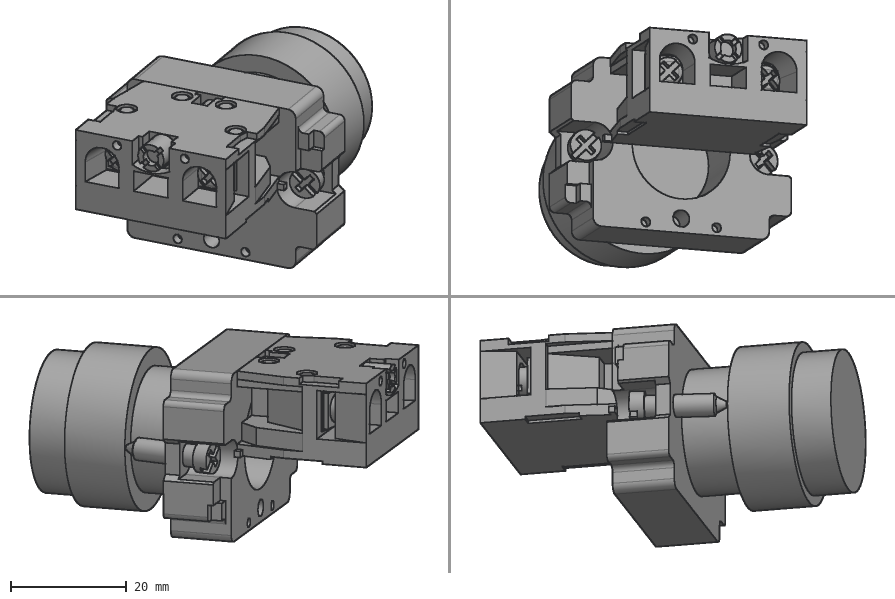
import cadquery as cq
import math

SIDES = (-1, 1)

button_face_y = 31.0
cap_length = 7.0
collar_length = 11.0
neck_length = 9.0
flange_thickness = 11.05
collar_back_y = button_face_y - cap_length
collar_front_y = collar_back_y - collar_length
flange_back_y = collar_front_y - neck_length
flange_face_y = flange_back_y - flange_thickness
terminal_face_y = -31.0

cap_radius = 12.45
collar_radius = 14.25
neck_radius = 11.05

flange_half_width = 16.2
flange_half_height = 15.0
flange_corner_radius = 1.5
ear_span = 40.5
ear_half_width = ear_span / 2
ear_half_height = 10.55
ear_radius = 1.0
waist_half_width = 19.1
waist_half_height = 2.8
waist_chamfer_height = 0.9
bore_radius = 9.0
fixing_radius = 1.5
fixing_z = 12.45
fixing_depth = 4.95
dimple_radius = 0.8
dimple_x = 6.5
dimple_z = 13.6
dimple_depth = 1.85
screw_slot_half_height = 3.35
screw_slot_end_x = 12.6
screw_slot_floor_y = 1.4
latch_face_y = -5.0
latch_step_z = 7.45
latch_step_x = 18.2
latch_inner_y = -5.95
latch_outer_y = -4.0

screw_tilt = 9.0
screw_radius = 2.0
screw_x_at_flange_back = 15.1
screw_head_radius = 2.7
screw_head_height = 2.6
screw_head_face_y = -3.8
screw_shank_end_y = 10.65
screw_point_base_radius = 1.4
screw_point_radius = 0.53
screw_point_end_y = 12.85
screw_shoulder_length = 0.4
cross_angle = 45.0
cross_width = 1.05
cross_short_length = 3.7
cross_depth = 1.35

block_half_width = 14.45
block_back_half_width = 13.0
block_taper_end_y = -15.95
block_height = 15.0
lug_length = 1.05
lug_height = 1.1
side_bay_front_y = -19.35
side_bay_bottom_z = 2.0
side_bay_ledge_z = 5.2
side_bay_lip_z = 12.2
side_bay_top_z = 13.5
side_bay_lip_x = 12.95
bay_lower_bend = (13.0, -10.55)
bay_lower_back_x = 10.4
bay_upper_front_x = 12.8
bay_upper_bend = (8.75, -11.2)
bay_upper_back_x = 4.95
edge_notch_back_y = -18.8
edge_notch_bend_y = -20.7
edge_notch_front_y = -26.0
edge_notch_back_x = 12.6
edge_notch_front_x = 12.15
edge_notch_depth = 1.1
underside_back_y = -13.45
underside_front_y = -23.0
underside_depth = 0.5
rivets = ((4.2, -9.9), (10.5, -18.9))
rivet_outer_radius = 1.8
rivet_inner_radius = 1.25
rivet_groove_depth = 0.75
rivet_recess = 0.25

window_half_width = 3.3
window_depth = 7.45
window_top_z = 9.35
entry_floor_z = 5.6
entry_outer_x = 12.6
entry_inner_x = 6.15
entry_neck_outer_x = 11.55
entry_wall_x = 13.0
entry_wall_end_y = -24.85
side_opening_back_y = -22.0
side_opening_bottom_z = 4.4
side_opening_top_z = 13.0
side_opening_inner_x = 5.3
terminal_tilt = 9.0
terminal_x = 8.75
terminal_z = 8.8
terminal_head_radius = 2.55
terminal_head_height = 2.5
terminal_head_fillet = 0.85
clamp_face_y = -23.75
clamp_width = 6.45
clamp_thickness = 0.85
backing_width = 7.2
backing_thickness = 2.2

fixing_head_radius = 2.5
fixing_head_back_y = -26.0
fixing_socket_radius = 1.4
fixing_socket_depth = 1.55
fixing_notch_width = 0.8
fixing_notch_depth = 0.75
head_channel_radius = 2.7
head_recess_half_width = 3.55
head_recess_back_y = -28.6
head_recess_side_z = 10.55
head_recess_bottom_z = 9.7
shank_recess_half_width = 2.6
shank_recess_front_y = -8.1
shank_slot_front_y = -11.8


def box(x_range, y_range, z_range):
    """Box between two X, two Y and two Z values, each pair in any order."""
    sizes = [abs(end - start) for start, end in (x_range, y_range, z_range)]
    corner = [min(pair) for pair in (x_range, y_range, z_range)]
    return cq.Workplane("XY").box(*sizes, centered=False).translate(tuple(corner))


def rod(x, z, radius, y_back, y_front):
    """Cylinder along Y that starts at y_back and runs forward to y_front."""
    plane = cq.Workplane("XZ", origin=(x, y_back, z))
    return plane.circle(radius).extrude(y_back - y_front)


def plan_prism(points, side, z_bottom, z_top):
    """Upright prism on a plan outline given for +X, placed on the chosen side."""
    outline = [(side * x, y) for x, y in points]
    plane = cq.Workplane("XY", origin=(0, 0, z_bottom))
    return plane.polyline(outline).close().extrude(z_top - z_bottom)


def tilted_plane(x, y, z, tilt, side):
    """Plane whose normal points to +Y and leans towards the middle of the part."""
    sine = math.sin(math.radians(tilt))
    cosine = math.cos(math.radians(tilt))
    return cq.Plane(origin=(side * x, y, z), xDir=(cosine, side * sine, 0), normal=(-side * sine, cosine, 0))


def cross_recess(plane, side, head_radius):
    """Slot right across a screw head, crossed by a shorter one."""
    recess = cq.Workplane(plane).rect(3 * head_radius, cross_width).extrude(cross_depth)
    recess = recess.union(cq.Workplane(plane).rect(cross_width, cross_short_length).extrude(cross_depth))
    return recess.rotate(plane.origin.toTuple(), (plane.origin + plane.zDir).toTuple(), side * cross_angle)


def button_head():
    head = rod(0, 0, cap_radius, button_face_y, collar_back_y)
    head = head.union(rod(0, 0, collar_radius, collar_back_y, collar_front_y))
    return head.union(rod(0, 0, neck_radius, collar_front_y, flange_back_y))


def slab(half_width, half_height):
    """Rectangular plate of the flange thickness, centred on the Y axis."""
    plane = cq.Workplane("XZ", origin=(0, flange_back_y, 0))
    return plane.rect(2 * half_width, 2 * half_height).extrude(flange_thickness)


def flange_blank():
    """Rounded plate with an ear on each side; each ear has a chamfered waist."""
    ears = slab(ear_half_width, ear_half_height).edges("|Y").fillet(ear_radius)
    main = slab(flange_half_width, flange_half_height).edges("|Y").fillet(flange_corner_radius)
    blank = main.union(ears)
    reach_x = flange_half_width + ear_radius / 2
    reach_z = ear_half_height + ear_radius / 2
    meeting = cq.selectors.BoxSelector(
        (-reach_x, flange_face_y, -reach_z), (reach_x, flange_back_y, reach_z)
    )
    blank = blank.edges("|Y").edges(meeting).fillet(ear_radius)
    waist_mouth = waist_half_height + waist_chamfer_height
    for side in SIDES:
        waist = cq.Workplane("XZ", origin=(0, flange_back_y, 0)).polyline([
            (side * ear_half_width, waist_mouth),
            (side * waist_half_width, waist_half_height),
            (side * waist_half_width, -waist_half_height),
            (side * ear_half_width, -waist_mouth),
        ]).close().extrude(flange_thickness)
        blank = blank.cut(waist)
    return blank


def screw_slot(side):
    """Open-sided slot, round at its inner end, that takes a screw head."""
    centre_x = screw_slot_end_x + screw_slot_half_height
    slot = rod(side * centre_x, 0, screw_slot_half_height, screw_slot_floor_y, flange_face_y)
    return slot.union(box(
        (side * centre_x, side * ear_half_width),
        (screw_slot_floor_y, flange_face_y),
        (-screw_slot_half_height, screw_slot_half_height),
    ))


def latch_cuts(side):
    """Stepped cut-back of one ear: the upper one at +X, the lower one at -X."""
    steps = (
        (flange_half_width, ear_half_width, screw_slot_half_height, latch_step_z, latch_face_y),
        (flange_half_width, latch_step_x, latch_step_z, ear_half_height + ear_radius, latch_inner_y),
        (latch_step_x, ear_half_width, latch_step_z, ear_half_height, latch_outer_y),
    )
    cuts = cq.Workplane("XY")
    for x_in, x_out, z_in, z_out, floor_y in steps:
        step = box((side * x_in, side * x_out), (floor_y, flange_face_y), (side * z_in, side * z_out))
        cuts = cuts.union(step)
    return cuts


def operator():
    body = button_head().union(flange_blank())
    body = body.cut(rod(0, 0, bore_radius, flange_back_y, flange_face_y))
    for side in SIDES:
        body = body.cut(screw_slot(side)).cut(screw_blank(side)).cut(latch_cuts(side))
        body = body.cut(rod(0, side * fixing_z, fixing_radius, flange_face_y + fixing_depth, flange_face_y))
        dimple_back_y = flange_face_y + dimple_depth
        body = body.cut(rod(side * dimple_x, -dimple_z, dimple_radius, dimple_back_y, flange_face_y))
    return body


def screw_head_plane(side):
    run = flange_back_y - screw_head_face_y
    x = screw_x_at_flange_back + run * math.tan(math.radians(screw_tilt))
    return tilted_plane(x, screw_head_face_y, 0, screw_tilt, side)


def screw_blank(side):
    """Leaning screw with a flat head and a blunt point, before its recess is cut."""
    stretch = 1 / math.cos(math.radians(screw_tilt))
    shank_end = (screw_shank_end_y - screw_head_face_y) * stretch
    point_rise = screw_point_radius * math.tan(math.radians(screw_tilt))
    point_end = (screw_point_end_y - screw_head_face_y) * stretch - point_rise
    plane = screw_head_plane(side)
    axial_plane = cq.Plane(origin=plane.origin, xDir=plane.xDir, normal=-plane.yDir)
    profile = [
        (0, 0),
        (screw_head_radius, 0),
        (screw_head_radius, screw_head_height),
        (screw_radius, screw_head_height),
        (screw_radius, shank_end),
        (screw_point_base_radius, shank_end + screw_shoulder_length),
        (screw_point_radius, point_end),
        (0, point_end),
    ]
    return cq.Workplane(axial_plane).polyline(profile).close().revolve(360, (0, 0, 0), (0, 1, 0))


def mounting_screw(side):
    return screw_blank(side).cut(cross_recess(screw_head_plane(side), side, screw_head_radius))


def block_blank():
    blank = cq.Workplane("XY")
    half_plan = [
        (0, flange_face_y),
        (block_back_half_width, flange_face_y),
        (block_half_width, block_taper_end_y),
        (block_half_width, terminal_face_y),
        (0, terminal_face_y),
    ]
    for side in SIDES:
        blank = blank.union(plan_prism(half_plan, side, 0, block_height))
    lug_y = (flange_face_y, flange_face_y - lug_length)
    return blank.union(box((-block_half_width, block_half_width), lug_y, (0, lug_height)))


def side_bay(side):
    """Recess behind the terminal: a stepped wall that runs deeper towards the flange."""
    corner = (block_half_width, side_bay_front_y)
    mouth = [(block_half_width, flange_face_y), corner]
    lower_wall = mouth + [bay_lower_bend, (bay_lower_back_x, flange_face_y)]
    upper_wall = mouth + [
        (bay_upper_front_x, side_bay_front_y),
        bay_upper_bend,
        (bay_upper_back_x, bay_upper_bend[1]),
        (bay_upper_back_x, flange_face_y),
    ]
    lip_wall = mouth + [(side_bay_lip_x, side_bay_front_y), (side_bay_lip_x, flange_face_y)]
    bay = plan_prism(lower_wall, side, side_bay_bottom_z, side_bay_ledge_z)
    bay = bay.union(plan_prism(upper_wall, side, side_bay_ledge_z, side_bay_lip_z))
    return bay.union(plan_prism(lip_wall, side, side_bay_lip_z, side_bay_top_z))


def edge_notch(side):
    """Notch in the upper long edge, wider in its front part."""
    outline = [
        (block_half_width, edge_notch_back_y),
        (edge_notch_back_x, edge_notch_back_y),
        (edge_notch_front_x, edge_notch_bend_y),
        (edge_notch_front_x, edge_notch_front_y),
        (block_half_width, edge_notch_front_y),
    ]
    return plan_prism(outline, side, block_height - edge_notch_depth, block_height)


def underside_notch(side):
    """Shallow notch in the lower long edge."""
    return box(
        (side * edge_notch_front_x, side * block_half_width),
        (underside_back_y, underside_front_y),
        (0, underside_depth),
    )


def rivet_groove(x, y):
    """Ring groove around a slightly sunken round rivet."""
    top = cq.Workplane("XY", origin=(x, y, block_height))
    groove = top.circle(rivet_outer_radius).circle(rivet_inner_radius).extrude(-rivet_groove_depth)
    return groove.union(top.circle(rivet_outer_radius).extrude(-rivet_recess))


def arch(workplane, outer_x, inner_x, side):
    """Wire-entry outline: a flat floor, upright sides and a half-round top."""
    middle_x = (outer_x + inner_x) / 2
    crown_z = window_top_z + (outer_x - inner_x) / 2
    return (
        workplane.moveTo(side * outer_x, entry_floor_z)
        .lineTo(side * outer_x, window_top_z)
        .threePointArc((side * middle_x, crown_z), (side * inner_x, window_top_z))
        .lineTo(side * inner_x, entry_floor_z)
        .close()
    )


def terminal_cavity(side):
    """Narrowing wire entry, the side opening behind it, and the slanted face beside it."""
    entry = arch(cq.Workplane("XZ", origin=(0, terminal_face_y, 0)), entry_outer_x, entry_inner_x, side)
    entry = arch(
        entry.workplane(offset=terminal_face_y - entry_wall_end_y), entry_neck_outer_x, entry_inner_x, side
    ).loft(ruled=True)
    opening = [
        (block_half_width, terminal_face_y),
        (block_half_width, side_opening_back_y),
        (side_opening_inner_x, side_opening_back_y),
        (side_opening_inner_x, entry_wall_end_y),
        (entry_wall_x, entry_wall_end_y),
    ]
    return entry.union(plan_prism(opening, side, side_opening_bottom_z, side_opening_top_z))


def terminal_clamp(side):
    """Leaning clamp plate with a round-edged cross-head screw."""
    face = tilted_plane(terminal_x, clamp_face_y, terminal_z, terminal_tilt, side)
    clamp = cq.Workplane(face).rect(clamp_width, clamp_width).extrude(clamp_thickness)
    backing = cq.Workplane(face).workplane(offset=clamp_thickness)
    clamp = clamp.union(backing.rect(backing_width, backing_width).extrude(backing_thickness))
    head = cq.Workplane(face).circle(terminal_head_radius).extrude(-terminal_head_height)
    head = head.faces("<Y").edges().fillet(terminal_head_fillet)
    head_face = cq.Plane(face.origin - face.zDir * terminal_head_height, face.xDir, face.zDir)
    return clamp.union(head.cut(cross_recess(head_face, side, terminal_head_radius)))


def fixing_screw_recesses():
    """Channel and stepped mouth around the screw head, and the openings over its shank."""
    recesses = rod(0, fixing_z, head_channel_radius, fixing_head_back_y, terminal_face_y)
    channel_x = (-head_channel_radius, head_channel_radius)
    recesses = recesses.union(
        box(channel_x, (fixing_head_back_y, terminal_face_y), (fixing_z, block_height))
    )
    mouth = (
        cq.Workplane("XZ", origin=(0, head_recess_back_y, 0))
        .moveTo(-head_recess_half_width, block_height)
        .lineTo(-head_recess_half_width, head_recess_side_z)
        .threePointArc((0, head_recess_bottom_z), (head_recess_half_width, head_recess_side_z))
        .lineTo(head_recess_half_width, block_height)
        .close()
        .extrude(head_recess_back_y - terminal_face_y)
    )
    shank_recess = box(
        (-shank_recess_half_width, shank_recess_half_width),
        (flange_face_y, shank_recess_front_y),
        (fixing_z - shank_recess_half_width, block_height),
    )
    shank_slot = box(
        (-fixing_radius, fixing_radius), (flange_face_y, shank_slot_front_y), (fixing_z, block_height)
    )
    return recesses.union(mouth).union(shank_recess).union(shank_slot)


def fixing_screw():
    """Socket head with four notches in its rim, and a shank that reaches into the flange."""
    head = rod(0, fixing_z, fixing_head_radius, fixing_head_back_y, terminal_face_y)
    socket_back_y = terminal_face_y + fixing_socket_depth
    head = head.cut(rod(0, fixing_z, fixing_socket_radius, socket_back_y, terminal_face_y))
    for angle in (cross_angle, -cross_angle):
        slot = box(
            (-fixing_head_radius, fixing_head_radius),
            (terminal_face_y, terminal_face_y + fixing_notch_depth),
            (-fixing_notch_width / 2, fixing_notch_width / 2),
        )
        head = head.cut(slot.rotate((0, 0, 0), (0, 1, 0), angle).translate((0, 0, fixing_z)))
    shank = rod(0, fixing_z, fixing_radius, flange_face_y + fixing_depth, fixing_head_back_y)
    return head.union(shank)


def contact_block():
    block = block_blank()
    for side in SIDES:
        block = block.cut(side_bay(side)).cut(terminal_cavity(side))
        block = block.cut(edge_notch(side)).cut(underside_notch(side))
        for x, y in rivets:
            block = block.cut(rivet_groove(side * x, y))
        dimple_back_y = terminal_face_y + dimple_depth
        block = block.cut(rod(side * dimple_x, dimple_z, dimple_radius, dimple_back_y, terminal_face_y))
        block = block.union(terminal_clamp(side))
    block = block.cut(box(
        (-window_half_width, window_half_width),
        (terminal_face_y, terminal_face_y + window_depth),
        (entry_floor_z, window_top_z),
    ))
    return block.cut(fixing_screw_recesses()).union(fixing_screw())


operator_body = operator()
contact_body = contact_block()
screws = [mounting_screw(side) for side in SIDES]
result = cq.Compound.makeCompound([
    operator_body.val(),
    contact_body.val(),
    *[screw.val() for screw in screws],
])